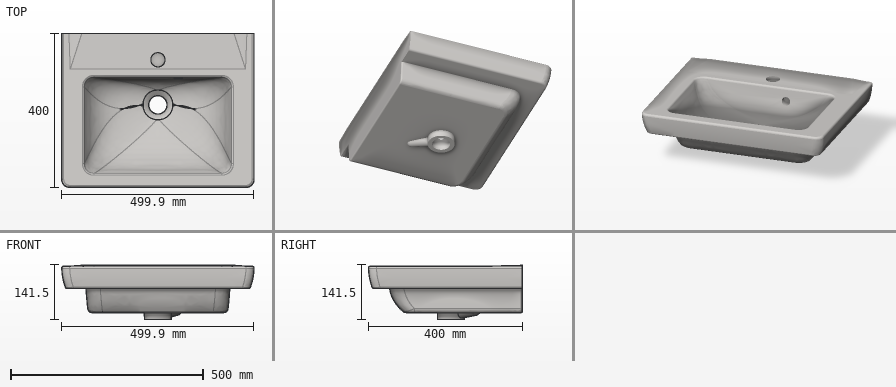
import cadquery as cq
import math


length = 500.0
depth = 400.0
total_height = 141.5
rim_top = -2.5
rim_bottom = -61.0
rim_side_inset = 11.0
rim_corner_radius = 21.0
rim_top_round = 5.5
rim_bottom_round = 6.0

deck_depth = 93.0
deck_back_half_width = 231.0
deck_front_half_width = 227.5
deck_crest_half_width = 197.5
tap_hole_radius = 18.5
tap_hole_y = -68.5
tap_hole_depth = 8.5

bowl_bottom = -123.5
bowl_levels = [
    (rim_bottom, 187.0, -345.0),
    (-92.0, 184.5, -334.0),
    (bowl_bottom, 181.0, -306.0),
]
bowl_corner_radius = 37.5
bowl_bottom_round = 12.5
bowl_wall_edge_round = 3.5

drain_y = -185.5
drain_hole_radius = 23.5
drain_seat_radius = 39.0
drain_seat_top = -97.0
drain_seat_bottom = -106.5
drain_tube_radius = 36.5
drain_tube_end_radius = 35.0
overflow_x = 53.0
overflow_z = -38.0
overflow_radius = 11.5
overflow_end_y = -100.0
duct_radius = 14.0
duct_start = cq.Vector(48.0, -123.0, -116.5)
duct_end = cq.Vector(15.0, -165.0, -125.0)

basin_levels = [
    (rim_top, 192.0, -113.5, -364.0, 25.0),
    (-50.0, 172.0, -119.0, -340.0, 40.0),
    (-82.5, 120.0, -131.0, -280.0, 60.0),
    (drain_seat_top, 38.0, -147.5, -223.5, 35.0),
]
basin_edge_round = 5.0


def rounded_wire(z, half_width, back, front, radius):
    """Closed horizontal rectangle with four rounded corners."""
    corners = [(-half_width, front), (half_width, front), (half_width, back), (-half_width, back)]
    outline = cq.Wire.makePolygon([cq.Vector(x, y, z) for x, y in corners], close=True)
    return outline.fillet2D(radius, outline.Vertices())


def wall_side_wire(z, half_width, front, radius):
    """Closed horizontal outline: square at the wall, rounded at the two front corners."""
    bevel = radius * (1 - math.sqrt(0.5))
    return (
        cq.Workplane(origin=(0, 0, z))
        .moveTo(half_width, 0)
        .lineTo(half_width, front + radius)
        .threePointArc((half_width - bevel, front + bevel), (half_width - radius, front))
        .lineTo(radius - half_width, front)
        .threePointArc((bevel - half_width, front + bevel), (-half_width, front + radius))
        .lineTo(-half_width, 0)
        .close()
        .val()
    )


def make_rim():
    """Slab whose curved side walls are widest just below the top round."""
    height = rim_top - rim_bottom
    widest_share = rim_top_round / height
    wires = []
    for share in (0, 0.5, 1):
        z = rim_top - share * height
        inset = rim_side_inset * (share**2 - widest_share**2)
        wires.append(wall_side_wire(z, length / 2 - inset, inset - depth, rim_corner_radius))
    rim = cq.Workplane(cq.Solid.makeLoft(wires))
    rim = rim.faces(">Z").edges("not >Y").fillet(rim_top_round)
    return rim.faces("<Z").edges("not >Y").fillet(rim_bottom_round)


def make_deck():
    """Very shallow wedge with sloping ends; its front edge runs out into the rim."""
    back_left = (-deck_back_half_width, 0, rim_top)
    back_right = (deck_back_half_width, 0, rim_top)
    front_left = (-deck_front_half_width, -deck_depth, rim_top)
    front_right = (deck_front_half_width, -deck_depth, rim_top)
    crest_left = (-deck_crest_half_width, 0, 0)
    crest_right = (deck_crest_half_width, 0, 0)
    outlines = [
        (back_left, back_right, front_right, front_left),
        (back_left, back_right, crest_right, crest_left),
        (crest_left, crest_right, front_right, front_left),
        (back_left, front_left, crest_left),
        (back_right, front_right, crest_right),
    ]
    faces = []
    for outline in outlines:
        corners = [cq.Vector(*corner) for corner in outline]
        faces.append(cq.Face.makeFromWires(cq.Wire.makePolygon(corners, close=True)))
    return cq.Workplane(cq.Solid.makeSolid(cq.Shell.makeShell(faces)))


def make_bowl_body():
    """Underside of the bowl, narrowing towards its flat bottom."""
    wires = [wall_side_wire(*level, bowl_corner_radius) for level in bowl_levels]
    body = cq.Workplane(cq.Solid.makeLoft(wires))
    body = body.faces("<Z").edges("not >Y").fillet(bowl_bottom_round)
    return body.faces(">Y").edges("not >Z").fillet(bowl_wall_edge_round)


def make_drain_tube():
    height = drain_seat_bottom + total_height
    tube = cq.Solid.makeCone(
        drain_tube_end_radius, drain_tube_radius, height, pnt=cq.Vector(0, drain_y, -total_height)
    )
    return cq.Workplane(tube)


def make_overflow_duct():
    """Round-ended pipe bulging from the bowl underside and leading to the drain."""
    run = duct_end - duct_start
    pipe = cq.Workplane(cq.Solid.makeCylinder(duct_radius, run.Length, duct_start, run))
    end = cq.Workplane(origin=duct_start.toTuple()).sphere(duct_radius)
    return pipe.union(end)


def make_basin():
    """Smooth hollow running from the rim opening down to the drain seat."""
    return cq.Workplane(cq.Solid.makeLoft([rounded_wire(*level) for level in basin_levels]))


def make_drain_cut():
    hole = cq.Workplane(origin=(0, drain_y, -total_height)).circle(drain_hole_radius).extrude(total_height)
    seat_height = drain_seat_top - drain_seat_bottom
    seat = cq.Solid.makeCone(
        drain_hole_radius, drain_seat_radius, seat_height, pnt=cq.Vector(0, drain_y, drain_seat_bottom)
    )
    return hole.union(cq.Workplane(seat))


def make_tap_hole():
    return (
        cq.Workplane(origin=(0, tap_hole_y, rim_top - tap_hole_depth))
        .circle(tap_hole_radius)
        .extrude(total_height)
    )


def make_overflow_hole():
    run = overflow_end_y - drain_y
    return (
        cq.Workplane("XZ", origin=(overflow_x, overflow_end_y, overflow_z))
        .circle(overflow_radius)
        .extrude(run)
    )


body = make_rim().union(make_bowl_body()).cut(make_basin())
basin_edge = body.faces(">Z").val().innerWires()[0]
body = body.newObject(basin_edge.Edges()).fillet(basin_edge_round)
body = body.union(make_deck()).union(make_drain_tube()).union(make_overflow_duct())
result = body.cut(make_drain_cut()).cut(make_tap_hole()).cut(make_overflow_hole())